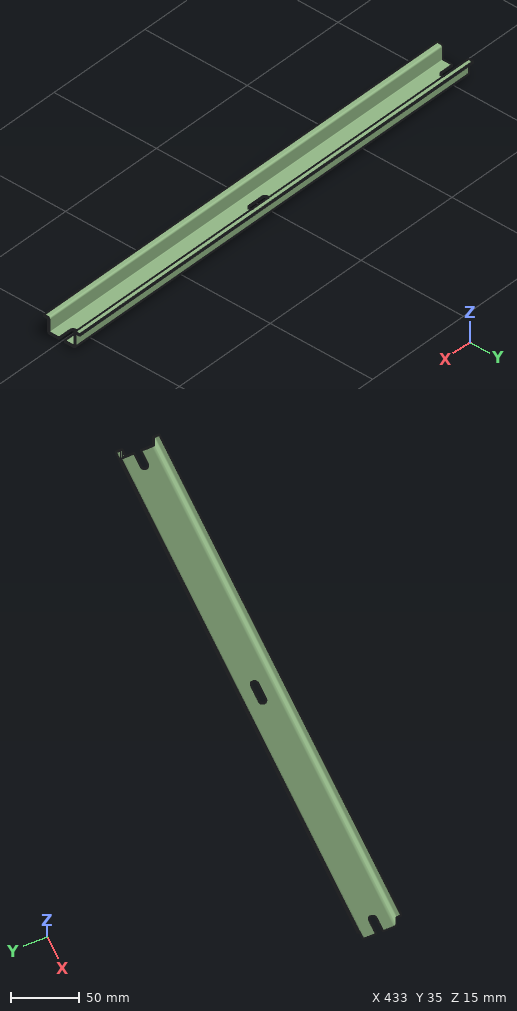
import cadquery as cq

rail_length = 433.0
rail_width = 35.0
rail_height = 15.0
channel_width = 27.0
sheet = 1.5

floor_inner_bend = 0.5
floor_outer_bend = floor_inner_bend + sheet

flange_inner_bend = 0.8
flange_outer_bend = 1.8

slot_width = 5.5
slot_length = 20.0
end_slot_depth = 15.0

floor_z = -rail_height / 2
top_z = rail_height / 2
flange_underside_z = top_z - sheet
hollow_width = channel_width - 2 * sheet


def make_bar(width, z_low, z_high):
    """Full-length bar of the given width, centred on Y, between two heights."""
    bar = cq.Workplane("XY", origin=(0, 0, z_low))
    return bar.rect(rail_length, width).extrude(z_high - z_low)


def round_edge_at(body, y, z, radius):
    """Round the lengthwise edge that runs through the given Y and Z."""
    return body.edges(cq.selectors.NearestToPointSelector((0, y, z))).fillet(radius)


def make_rail():
    """Bent sheet: flange and channel bars, less the channel hollow."""
    flanges = make_bar(rail_width, flange_underside_z, top_z)
    channel = make_bar(channel_width, floor_z, flange_underside_z)
    channel = channel.edges("|X and <Z").fillet(floor_outer_bend)
    hollow = make_bar(hollow_width, floor_z + sheet, top_z)
    hollow = hollow.edges("|X and <Z").fillet(floor_inner_bend)
    rail = flanges.union(channel).cut(hollow)

    for side in (-1, 1):
        rail = round_edge_at(rail, side * hollow_width / 2, top_z, flange_outer_bend)
        rail = round_edge_at(rail, side * channel_width / 2, flange_underside_z, flange_inner_bend)
    return rail


def make_slot(center_x, length):
    """Round-ended cutter along X that passes through the floor."""
    cutter = cq.Workplane("XY", origin=(center_x, 0, floor_z))
    return cutter.slot2D(length, slot_width).extrude(sheet)


result = make_rail().cut(make_slot(0, slot_length))

for end in (-1, 1):
    result = result.cut(make_slot(end * rail_length / 2, 2 * end_slot_depth))